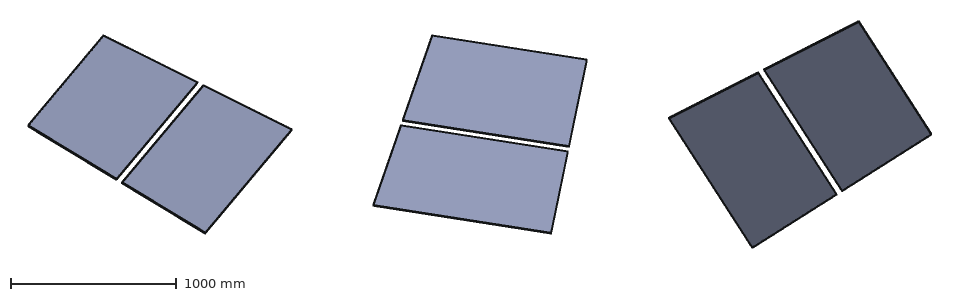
import cadquery as cq
import math

upper_width = 643.0
lower_width = 605.0
gap_width = 40.0
thickness = 10.0
upper_edge_length = 958.0
lower_edge_length = 1101.0

slope_angle = 13.3
heading_angle = 6.6

slope = math.radians(slope_angle)
heading = math.radians(heading_angle)
total_width = upper_width + gap_width + lower_width
vertical_cut_offset = thickness * math.tan(slope)

downhill = (
    math.cos(heading) * math.cos(slope),
    math.sin(heading) * math.cos(slope),
    -math.sin(slope),
)
top_normal = (
    math.cos(heading) * math.sin(slope),
    math.sin(heading) * math.sin(slope),
    math.cos(slope),
)
pane_plane = cq.Plane(origin=(0, 0, 0), xDir=downhill, normal=top_normal)


def half_length(distance):
    """Half the pane length at a distance downhill from the upper edge."""
    taper = (lower_edge_length - upper_edge_length) / total_width
    return (upper_edge_length + taper * distance) / 2


def panel(start, end):
    """Panel with square-cut edges between two distances down the slope."""
    return (
        cq.Workplane(pane_plane)
        .moveTo(start, -half_length(start))
        .lineTo(end, -half_length(end))
        .lineTo(end, half_length(end))
        .lineTo(start, half_length(start))
        .close()
        .extrude(-thickness)
    )


def upper_edge_wedge():
    """Waste removed below the top face to make the uppermost edge vertical."""
    profile_plane = cq.Plane(
        origin=pane_plane.toWorldCoords((0, lower_edge_length / 2, 0)),
        xDir=pane_plane.xDir,
        normal=-pane_plane.yDir,
    )
    return (
        cq.Workplane(profile_plane)
        .polyline([(0, 0), (0, -thickness), (vertical_cut_offset, -thickness)])
        .close()
        .extrude(lower_edge_length)
    )


upper_panel = panel(0, upper_width).cut(upper_edge_wedge())
lower_panel = panel(upper_width + gap_width, total_width)

result = cq.Compound.makeCompound([upper_panel.val(), lower_panel.val()])